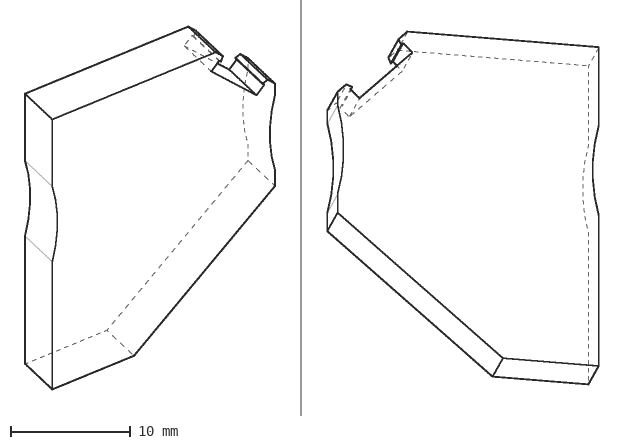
import cadquery as cq
import math

thickness = 4.15
depth = 22.3
height = 28.8

bottom_width = 8.18
slope_top = 11.92

recess_bottom = 13.62
recess_top = 21.65
recess_depth = 0.52
recess_middle = (recess_bottom + recess_top) / 2

seat_center_y = 18.17
seat_center_z = 24.68
seat_half_length = 3.2
wall_height = 1.1
barb_overhang = 0.25
tip_height = 1.6
tip_setback = 0.043


def seat_point(along, outward):
    """Point (y, z) from a distance along the seat floor (up is positive) and out from it."""
    y = seat_center_y + (outward - along) / math.sqrt(2)
    z = seat_center_z + (outward + along) / math.sqrt(2)
    return y, z


def hook_points(side):
    """One seat wall and its barb, from tip to floor; side is +1 for the upper, -1 for the lower."""
    local_points = [
        (seat_half_length - tip_setback, tip_height),
        (seat_half_length - barb_overhang, wall_height),
        (seat_half_length, wall_height),
        (seat_half_length, 0),
    ]
    return [seat_point(side * along, outward) for along, outward in local_points]


outer_face_sum = seat_center_y + seat_center_z + tip_height * math.sqrt(2)
top_corner = (outer_face_sum - height, height)
side_corner = (depth, outer_face_sum - depth)

outline = (
    cq.Workplane("YZ")
    .moveTo(0, 0)
    .lineTo(bottom_width, 0)
    .lineTo(depth, slope_top)
    .lineTo(depth, recess_bottom)
    .threePointArc((depth - recess_depth, recess_middle), (depth, recess_top))
    .lineTo(*side_corner)
)
for point in hook_points(-1) + hook_points(1)[::-1]:
    outline = outline.lineTo(*point)
outline = (
    outline.lineTo(*top_corner)
    .lineTo(0, height)
    .lineTo(0, recess_top)
    .threePointArc((recess_depth, recess_middle), (0, recess_bottom))
    .close()
)

result = outline.extrude(thickness)